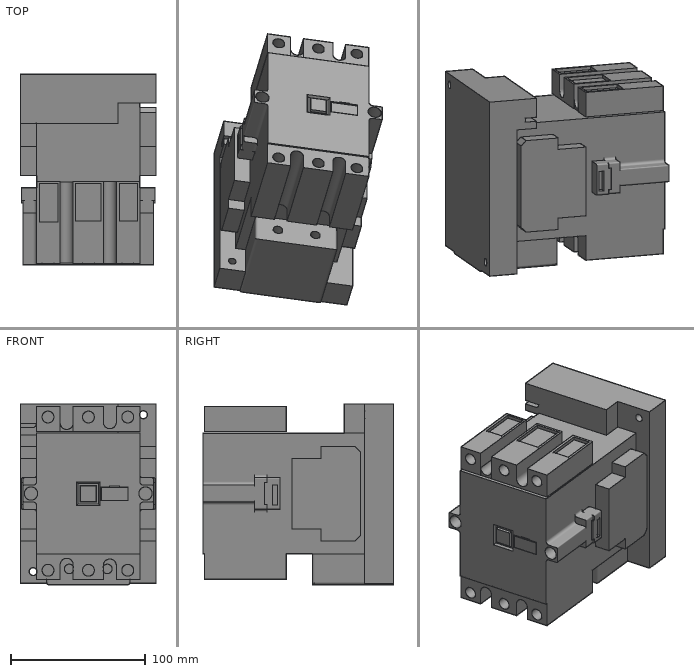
import cadquery as cq


TOTAL_WIDTH = 101.0
TOTAL_DEPTH = 142.0
TOTAL_HEIGHT = 134.8
PLATE_BOTTOM = 1.3
PLATE_FRONT = 120.5
LEDGE_BOTTOM = 111.8
LEDGE_FRONT = 105.3
LEDGE_RIGHT = 22.0
MOUNT_HOLE_RADIUS = 2.8
MOUNT_HOLE_X = 41.0
MOUNT_HOLE_HEIGHTS = {-1: 10.0, 1: 126.7}

NOTCH_LENGTH = 11.8
NOTCH_DEPTH = 8.7
NOTCH_BOTTOM = 117.2
NOTCH_HEIGHT = 3.0
NOTCH_RADIUS = 2.7

FOOT_WIDTH = 62.0
FOOT_FRONT = 81.5
FOOT_FILLET = 2.0
FOOT_HOLE_X = 14.2
FOOT_HOLE_HEIGHT = 12.0
FOOT_HOLE_RADIUS = 3.5
FOOT_HOLE_DEPTH = 14.2

HOUSING_WIDTH = 77.0
HOUSING_BOTTOM = 23.2
HOUSING_TOP = 113.1
HOUSING_SIDE = HOUSING_WIDTH / 2

TERMINAL_FRONT = 1.1
TERMINAL_REAR = 62.2
TERMINAL_DEPTH = TERMINAL_REAR - TERMINAL_FRONT
TERMINAL_HEIGHT = 18.8
LOWER_ROW_BOTTOM = 4.3
UPPER_ROW_BOTTOM = 114.2
UPPER_ROW_TOP = UPPER_ROW_BOTTOM + TERMINAL_HEIGHT
SLOT_WIDTH = 9.7
SLOT_X = 16.0
LOWER_SLOT_TOPS = {-1: 19.9, 1: 19.3}
UPPER_SLOT_BOTTOMS = {-1: 115.8, 1: 116.3}
WEB_FRONT_INSET = 0.1
WEB_REAR_INSET = 0.5
SCREW_X = (-30.0, 0.1, 29.4)
SCREW_RADIUS = 4.4
SCREW_DEPTH = 14.2
LOWER_SCREW_HEIGHT = 11.0
UPPER_SCREW_HEIGHT = 125.0

POCKET_REAR = 60.4
POCKET_DEPTH = 2.4
OUTER_POCKET_WIDTH = 13.5
LEFT_POCKET_X = -29.4
LEFT_POCKET_LENGTH = 28.4
MIDDLE_POCKET_WIDTH = 18.9
RIGHT_POCKET_X = 29.8
POCKET_LENGTH = 27.8

SIDE_BLOCK_REAR = 117.2
SIDE_BLOCK_STEP = 88.0
SIDE_BLOCK_FRONT = 66.3
SIDE_BLOCK_MIDDLE = 67.9
SIDE_BLOCK_HEIGHT = 70.2
SIDE_BLOCK_NOSE_HEIGHT = 52.7
SIDE_BLOCK_CHAMFER = 3.8

LATCH_MIDDLE = 68.0
LATCH_HEIGHT = 23.7
LATCH_EDGE_RADIUS = 1.1
CLIP_REACH = 49.7
CLIP_REAR = 57.4
CLIP_FRONT = 47.9
TONGUE_FRONT = 45.9
TONGUE_HEIGHT = 16.5
CLIP_SLOT_FRONT = 51.8
CLIP_SLOT_REAR = 55.5
CLIP_SLOT_HEIGHT = 15.0
CLIP_SLOT_DEPTH = 4.3
CLIP_SLOT_MIDDLE = 66.9
ARM_REACH = 48.6
COLLAR_FRONT = 38.6
COLLAR_FILLET = 1.8
ARM_HEIGHT = 12.6
ARM_FILLET = 2.4
ARM_EDGE_RADIUS = 0.9
BORE_X = 42.6
BORE_RADIUS = 5.0

BUTTON_MIDDLE = 67.9
BUTTON_GROOVE_DEPTH = 1.7
GROOVE_OUTER_SIZE = 17.5
GROOVE_OUTER_FLOOR = 15.0
GROOVE_INNER_FLOOR = 12.6
BUTTON_SIZE = 11.5

WINDOW_LEFT = 9.2
WINDOW_RIGHT = 29.5
WINDOW_BOTTOM = 62.8
WINDOW_TOP = 73.0
WINDOW_DEPTH = 0.5
WINDOW_GAP = 0.5
INDICATOR_DEPTH = 0.3
TAB_LEFT = 15.9
TAB_RIGHT = 23.5
TAB_HEIGHT = 0.5


def block(x_range, y_range, z_range):
    """A box between the given limits."""
    size = [high - low for low, high in (x_range, y_range, z_range)]
    corner = (x_range[0], y_range[0], z_range[0])
    return cq.Workplane("XY").box(*size, centered=False).translate(corner)


def front_hole(x, z, radius, y_start, depth):
    """A cylinder running back along +Y from y_start."""
    return cq.Workplane("XZ", origin=(x, y_start, z)).circle(radius).extrude(-depth)


def make_base():
    half = TOTAL_WIDTH / 2
    base = block((-half, half), (PLATE_FRONT, TOTAL_DEPTH), (PLATE_BOTTOM, TOTAL_HEIGHT))
    base = base.union(block((-half, LEDGE_RIGHT), (LEDGE_FRONT, TOTAL_DEPTH), (LEDGE_BOTTOM, TOTAL_HEIGHT)))

    notch = block(
        (-half, -half + NOTCH_LENGTH),
        (LEDGE_FRONT, LEDGE_FRONT + NOTCH_DEPTH),
        (NOTCH_BOTTOM, NOTCH_BOTTOM + NOTCH_HEIGHT),
    )
    base = base.cut(notch.edges("|Y and >X and <Z").fillet(NOTCH_RADIUS))

    plate_thickness = TOTAL_DEPTH - PLATE_FRONT
    for side, height in MOUNT_HOLE_HEIGHTS.items():
        hole = front_hole(side * MOUNT_HOLE_X, height, MOUNT_HOLE_RADIUS, PLATE_FRONT, plate_thickness)
        base = base.cut(hole)
    return base


def make_foot():
    half = FOOT_WIDTH / 2
    foot = block((-half, half), (FOOT_FRONT, TOTAL_DEPTH), (0, HOUSING_BOTTOM))
    foot = foot.edges("(|Z and <Y) or (|Y and <Z)").fillet(FOOT_FILLET)
    for side in (-1, 1):
        foot = foot.cut(
            front_hole(side * FOOT_HOLE_X, FOOT_HOLE_HEIGHT, FOOT_HOLE_RADIUS, FOOT_FRONT, FOOT_HOLE_DEPTH)
        )
    return foot


def terminal_slot(side, round_end, open_end):
    """A slot along Y whose rounded end reaches round_end and whose other end is open."""
    x = side * SLOT_X
    radius = SLOT_WIDTH / 2
    center = round_end + radius if open_end > round_end else round_end - radius
    walls = block(
        (x - radius, x + radius),
        (TERMINAL_FRONT, TERMINAL_REAR),
        (min(center, open_end), max(center, open_end)),
    )
    return walls.union(front_hole(x, center, radius, TERMINAL_FRONT, TERMINAL_DEPTH))


def drill_screws(terminals, height):
    for x in SCREW_X:
        terminals = terminals.cut(front_hole(x, height, SCREW_RADIUS, TERMINAL_FRONT, SCREW_DEPTH))
    return terminals


def make_lower_terminals():
    row = block(
        (-HOUSING_SIDE, HOUSING_SIDE),
        (TERMINAL_FRONT, TERMINAL_REAR),
        (LOWER_ROW_BOTTOM, HOUSING_BOTTOM),
    )
    for side, top in LOWER_SLOT_TOPS.items():
        row = row.cut(terminal_slot(side, top, LOWER_ROW_BOTTOM))
    return drill_screws(row, LOWER_SCREW_HEIGHT)


def make_side_block():
    """The stepped block on the +X side."""
    half = SIDE_BLOCK_HEIGHT / 2
    half_nose = SIDE_BLOCK_NOSE_HEIGHT / 2
    outline = [
        (SIDE_BLOCK_FRONT, -half_nose),
        (SIDE_BLOCK_STEP, -half_nose),
        (SIDE_BLOCK_STEP, -half),
        (SIDE_BLOCK_REAR - SIDE_BLOCK_CHAMFER, -half),
        (SIDE_BLOCK_REAR, -half + SIDE_BLOCK_CHAMFER),
        (SIDE_BLOCK_REAR, half - SIDE_BLOCK_CHAMFER),
        (SIDE_BLOCK_REAR - SIDE_BLOCK_CHAMFER, half),
        (SIDE_BLOCK_STEP, half),
        (SIDE_BLOCK_STEP, half_nose),
        (SIDE_BLOCK_FRONT, half_nose),
    ]
    plane = cq.Workplane("YZ", origin=(HOUSING_SIDE, 0, SIDE_BLOCK_MIDDLE))
    return plane.polyline(outline).close().extrude(TOTAL_WIDTH / 2 - HOUSING_SIDE)


def flared_bar(height, fillet, edge_radius, y_range):
    """A bar along Y on the +X side, rounded outside and with concave fillets at the housing."""
    half = height / 2
    root = HOUSING_SIDE + fillet
    return (
        cq.Workplane("XZ", origin=(0, y_range[0], LATCH_MIDDLE))
        .moveTo(HOUSING_SIDE, -half - fillet)
        .radiusArc((root, -half), fillet)
        .lineTo(ARM_REACH - edge_radius, -half)
        .radiusArc((ARM_REACH, -half + edge_radius), -edge_radius)
        .lineTo(ARM_REACH, half - edge_radius)
        .radiusArc((ARM_REACH - edge_radius, half), -edge_radius)
        .lineTo(root, half)
        .radiusArc((HOUSING_SIDE, half + fillet), fillet)
        .close()
        .extrude(y_range[0] - y_range[1])
    )


def height_range(height, middle=LATCH_MIDDLE):
    return (middle - height / 2, middle + height / 2)


def make_latch():
    """The clip, collar and arm on the +X side, before the arm is bored."""
    clip = block((HOUSING_SIDE, CLIP_REACH), (CLIP_FRONT, CLIP_REAR), height_range(LATCH_HEIGHT))
    clip = clip.edges("|Y and >X").fillet(LATCH_EDGE_RADIUS)
    tongue = block((HOUSING_SIDE, CLIP_REACH), (TONGUE_FRONT, CLIP_FRONT), height_range(TONGUE_HEIGHT))
    clip_slot = block(
        (CLIP_REACH - CLIP_SLOT_DEPTH, CLIP_REACH),
        (CLIP_SLOT_FRONT, CLIP_SLOT_REAR),
        height_range(CLIP_SLOT_HEIGHT, CLIP_SLOT_MIDDLE),
    )
    collar = flared_bar(LATCH_HEIGHT, COLLAR_FILLET, LATCH_EDGE_RADIUS, (COLLAR_FRONT, CLIP_FRONT))
    arm = flared_bar(ARM_HEIGHT, ARM_FILLET, ARM_EDGE_RADIUS, (0, COLLAR_FRONT))
    return clip.cut(clip_slot).union(tongue).union(collar).union(arm)


def square_frustum(front_size, rear_size):
    """A square pyramid stump running from the housing face to the floor of the button groove."""
    return (
        cq.Workplane("XZ", origin=(0, 0, BUTTON_MIDDLE))
        .rect(front_size, front_size)
        .workplane(offset=-BUTTON_GROOVE_DEPTH)
        .rect(rear_size, rear_size)
        .loft(ruled=True)
    )


def make_button_groove():
    outer = square_frustum(GROOVE_OUTER_SIZE, GROOVE_OUTER_FLOOR)
    return outer.cut(square_frustum(BUTTON_SIZE, GROOVE_INNER_FLOOR))


def make_window():
    opening = block((WINDOW_LEFT, WINDOW_RIGHT), (0, WINDOW_DEPTH), (WINDOW_BOTTOM, WINDOW_TOP))
    tab = block((TAB_LEFT, TAB_RIGHT), (0, WINDOW_DEPTH), (WINDOW_TOP, WINDOW_TOP + TAB_HEIGHT))
    indicator = block(
        (WINDOW_LEFT + WINDOW_GAP, WINDOW_RIGHT),
        (INDICATOR_DEPTH, WINDOW_DEPTH),
        (WINDOW_BOTTOM, WINDOW_TOP - WINDOW_GAP),
    )
    return opening.union(tab).cut(indicator)


def make_housing():
    housing = block((-HOUSING_SIDE, HOUSING_SIDE), (0, PLATE_FRONT), (HOUSING_BOTTOM, HOUSING_TOP))
    housing = housing.union(make_base()).union(make_foot()).union(make_lower_terminals())
    for attachment in (make_side_block(), make_latch()):
        housing = housing.union(attachment).union(attachment.mirror("YZ"))
    for side in (-1, 1):
        housing = housing.cut(front_hole(side * BORE_X, LATCH_MIDDLE, BORE_RADIUS, 0, COLLAR_FRONT))
    return housing.cut(make_button_groove()).cut(make_window())


def terminal_pocket(x, width, length):
    return block(
        (x - width / 2, x + width / 2),
        (POCKET_REAR - length, POCKET_REAR),
        (UPPER_ROW_TOP - POCKET_DEPTH, UPPER_ROW_TOP),
    )


def upper_row(left, right):
    return block((left, right), (TERMINAL_FRONT, TERMINAL_REAR), (UPPER_ROW_BOTTOM, UPPER_ROW_TOP))


def make_left_terminal():
    terminal = upper_row(-HOUSING_SIDE, -SLOT_X - SLOT_WIDTH / 2)
    terminal = terminal.cut(terminal_pocket(LEFT_POCKET_X, OUTER_POCKET_WIDTH, LEFT_POCKET_LENGTH))
    return drill_screws(terminal, UPPER_SCREW_HEIGHT)


def make_double_terminal():
    """The middle and right terminals, with the slot floor that reaches to the left terminal."""
    middle_left = -SLOT_X + SLOT_WIDTH / 2
    web = block(
        (middle_left - SLOT_WIDTH, middle_left),
        (TERMINAL_FRONT + WEB_FRONT_INSET, TERMINAL_REAR - WEB_REAR_INSET),
        (UPPER_ROW_BOTTOM, UPPER_ROW_TOP),
    )
    terminals = upper_row(middle_left, HOUSING_SIDE).union(web)
    for side, bottom in UPPER_SLOT_BOTTOMS.items():
        terminals = terminals.cut(terminal_slot(side, bottom, UPPER_ROW_TOP))
    terminals = terminals.cut(terminal_pocket(0, MIDDLE_POCKET_WIDTH, POCKET_LENGTH))
    terminals = terminals.cut(terminal_pocket(RIGHT_POCKET_X, OUTER_POCKET_WIDTH, POCKET_LENGTH))
    return drill_screws(terminals, UPPER_SCREW_HEIGHT)


housing = make_housing()
left_terminal = make_left_terminal()
double_terminal = make_double_terminal()

result = cq.Compound.makeCompound(
    [housing.solids().val(), left_terminal.solids().val(), double_terminal.solids().val()]
)